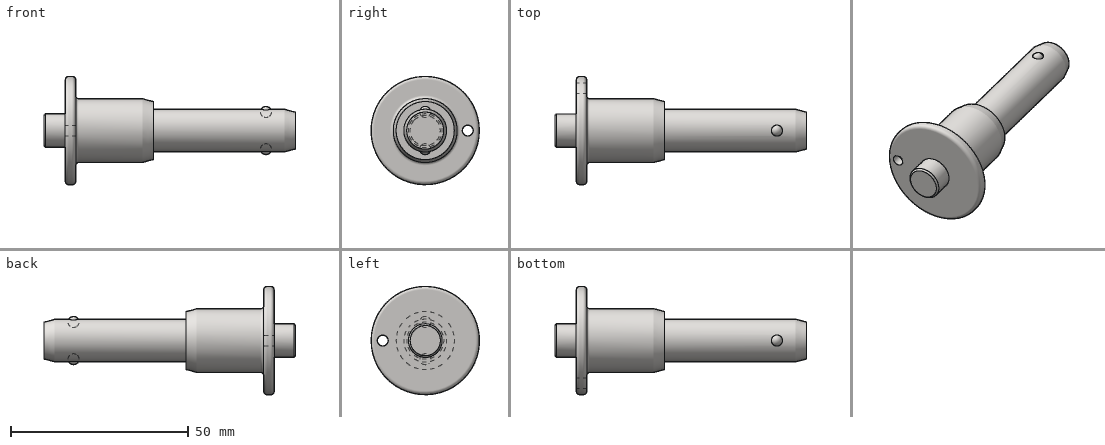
import cadquery as cq
import math

total_length = 71.0
button_length = 6.0
flange_thickness = 3.0
sleeve_end = 30.95
flange_back = button_length + flange_thickness

flange_radius = 30.6 / 2
sleeve_radius = 9.0
shank_radius = 6.0
button_radius = 4.75

button_chamfer = 0.5
flange_fillet = 1.0
root_fillet = 0.85
taper_length = 3.05
taper_angle = 15.0
taper_drop = taper_length * math.tan(math.radians(taper_angle))

lanyard_hole_diameter = 3.0
lanyard_hole_offset = 12.0

ball_radius = 1.55
ball_sides = (1, -1)
ball_x = 62.6
ball_protrusion = 0.8
ball_center_offset = shank_radius + ball_protrusion - ball_radius


def cylinder_x(start, length, radius):
    """Solid cylinder along X, beginning at the given station."""
    return cq.Workplane("YZ", origin=(start, 0, 0)).circle(radius).extrude(length)


def tapered_cylinder(start, end, radius):
    """Cylinder along X whose last stretch narrows to its +X end."""
    return (
        cq.Workplane("XY")
        .moveTo(start, 0)
        .lineTo(start, radius)
        .lineTo(end - taper_length, radius)
        .lineTo(end, radius - taper_drop)
        .lineTo(end, 0)
        .close()
        .revolve(360, (0, 0, 0), (1, 0, 0))
    )


def root_collar():
    """Concave fillet ring joining the sleeve to the back of the flange."""
    outer_radius = sleeve_radius + root_fillet
    front = flange_back + root_fillet
    arc_reach = root_fillet * (1 - math.sqrt(0.5))
    return (
        cq.Workplane("XY")
        .moveTo(flange_back, 0)
        .lineTo(flange_back, outer_radius)
        .threePointArc((flange_back + arc_reach, sleeve_radius + arc_reach), (front, sleeve_radius))
        .lineTo(front, 0)
        .close()
        .revolve(360, (0, 0, 0), (1, 0, 0))
    )


def make_ball(side):
    """Locking ball on the +Z (side = 1) or -Z (side = -1) side of the shank."""
    return cq.Workplane("XY").sphere(ball_radius).translate((ball_x, 0, side * ball_center_offset))


def ball_seat(side):
    """Round-bottomed hole of the ball's diameter, open at the shank surface."""
    bore = cq.Workplane("XY", origin=(ball_x, 0, side * ball_center_offset)).circle(ball_radius)
    return bore.extrude(side * shank_radius).union(make_ball(side))


def make_pin():
    """Button, flange, sleeve and shank in one piece, with a seat for each ball."""
    button = cylinder_x(0, button_length, button_radius).faces("<X").chamfer(button_chamfer)
    flange = cylinder_x(button_length, flange_thickness, flange_radius).edges().fillet(flange_fillet)
    lanyard_hole = cylinder_x(button_length, flange_thickness, lanyard_hole_diameter / 2).translate(
        (0, lanyard_hole_offset, 0)
    )
    sleeve = tapered_cylinder(flange_back, sleeve_end, sleeve_radius)
    shank = tapered_cylinder(sleeve_end, total_length, shank_radius)

    pin = flange.cut(lanyard_hole).union(button).union(root_collar()).union(sleeve).union(shank)
    for side in ball_sides:
        pin = pin.cut(ball_seat(side))
    return pin


locking_balls = [make_ball(side) for side in ball_sides]
pin = make_pin()

result = cq.Compound.makeCompound([pin.val(), *[ball.val() for ball in locking_balls]])